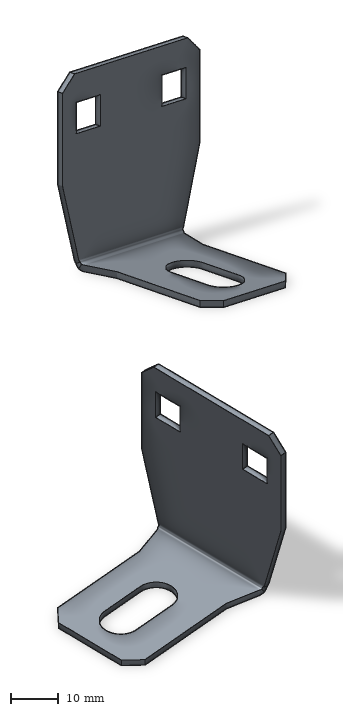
import cadquery as cq
import math

thickness = 1.5
bend_outer_radius = 2.5
bend_inner_radius = bend_outer_radius - thickness
bend_flat_start = 26
bend_flat_end = 57
taper_slope = math.tan(math.radians(15))
corner_chamfer = 3.5

plate_height = 44.4
plate_half_width = 40.0 / 2
plate_taper_top = 20.15
plate_bend_half_width = plate_half_width - taper_slope * (plate_taper_top - bend_outer_radius)
square_hole_size = 6.95
square_hole_pitch = 25.0
square_hole_height = 34.4

foot_length = 39.0
foot_half_width = 12.5
foot_taper_end = 10.25
foot_bend_half_width = foot_half_width + taper_slope * (foot_taper_end - bend_outer_radius)
slot_length = 20.0
slot_width = 9.0
slot_center = 24.0

bend_flat_half_width = (plate_bend_half_width + foot_bend_half_width) / 2


def tapered_outline(bend_half, half_width, taper_end, length):
    """Half outline as (distance from the outer corner, half width) points."""
    return [
        (bend_outer_radius, bend_half),
        (taper_end, half_width),
        (length - corner_chamfer, half_width),
        (length, half_width - corner_chamfer),
    ]


def make_plate():
    half = tapered_outline(plate_bend_half_width, plate_half_width, plate_taper_top, plate_height)
    outline = [(y, z) for z, y in half] + [(-y, z) for z, y in reversed(half)]
    plate = cq.Workplane("YZ").polyline(outline).close().extrude(thickness)
    hole_centers = [(side * square_hole_pitch / 2, square_hole_height) for side in (-1, 1)]
    holes = (
        cq.Workplane("YZ")
        .pushPoints(hole_centers)
        .rect(square_hole_size, square_hole_size)
        .extrude(thickness)
    )
    return plate.cut(holes)


def make_foot():
    half = tapered_outline(foot_bend_half_width, foot_half_width, foot_taper_end, foot_length)
    outline = half + [(x, -y) for x, y in reversed(half)]
    foot = cq.Workplane("XY").polyline(outline).close().extrude(thickness)
    slot = cq.Workplane("XY").center(slot_center, 0).slot2D(slot_length, slot_width).extrude(thickness)
    return foot.cut(slot)


def bend_section(degrees, half_width):
    """Cross-section on a plane through the bend axis, turned from the plate end."""
    angle = math.radians(degrees)
    radial = cq.Vector(-math.cos(angle), 0, -math.sin(angle))
    travel = cq.Vector(math.sin(angle), 0, -math.cos(angle))
    axis_point = cq.Vector(bend_outer_radius, 0, bend_outer_radius)
    middle = axis_point + radial * ((bend_inner_radius + bend_outer_radius) / 2)
    section = cq.Workplane(cq.Plane(middle, radial, travel)).rect(2 * thickness, 2 * half_width)
    return section.wire().val()


def make_bend():
    """Quarter-cylinder bend that narrows, runs straight, then narrows again toward the foot."""
    sections = [
        bend_section(0, plate_bend_half_width),
        bend_section(bend_flat_start, bend_flat_half_width),
        bend_section(bend_flat_end, bend_flat_half_width),
        bend_section(90, foot_bend_half_width),
    ]
    envelope = cq.Workplane(obj=cq.Solid.makeLoft(sections, True))
    middle_offset = bend_outer_radius * (1 - math.sqrt(0.5))
    inner_offset = bend_outer_radius - bend_inner_radius * math.sqrt(0.5)
    shell = (
        cq.Workplane("XZ")
        .moveTo(0, bend_outer_radius)
        .threePointArc((middle_offset, middle_offset), (bend_outer_radius, 0))
        .lineTo(bend_outer_radius, thickness)
        .threePointArc((inner_offset, inner_offset), (thickness, bend_outer_radius))
        .close()
        .extrude(plate_half_width, both=True)
    )
    return shell.intersect(envelope)


result = make_plate().union(make_bend()).union(make_foot())